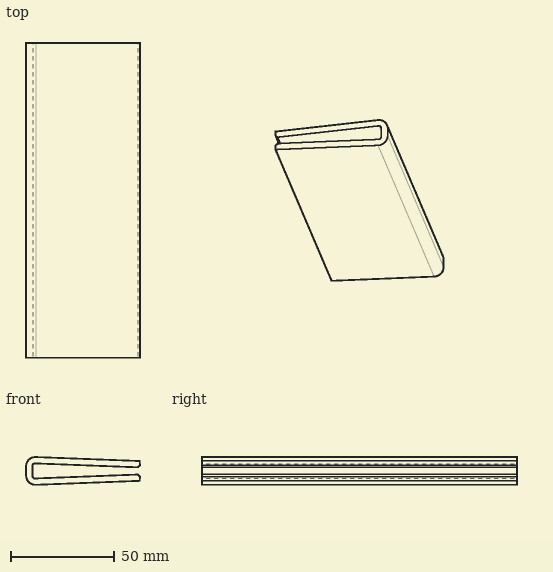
import cadquery as cq
import math

depth = 55.2
length = 152.4
height = 13.5
wall = 3.2
outer_radius = 4.5
inner_radius = 1.0
leg_tilt = math.radians(2.2)
tip_setback = 0.12
tip_chamfer = 1.0

along = (math.cos(leg_tilt), -math.sin(leg_tilt))
outward = (math.sin(leg_tilt), math.cos(leg_tilt))


def shift(point, direction, distance):
    """Move an XZ point along a direction."""
    return (
        point[0] + direction[0] * distance,
        point[1] + direction[1] * distance,
    )


def between(direction):
    """Unit vector halfway between the back normal (-X) and a direction."""
    x, z = direction[0] - 1, direction[1]
    size = math.hypot(x, z)
    return (x / size, z / size)


back_x = -depth / 2
outer_center = (back_x + outer_radius, height / 2 - outer_radius)
outer_back = (back_x, outer_center[1])
outer_mid = shift(outer_center, between(outward), outer_radius)
outer_leg = shift(outer_center, outward, outer_radius)

inner_x = back_x + wall
inner_face_offset = outer_radius - wall - inner_radius
inner_center_x = inner_x + inner_radius
inner_center_z = outer_center[1] + (
    inner_face_offset - (inner_center_x - outer_center[0]) * outward[0]
) / outward[1]
inner_center = (inner_center_x, inner_center_z)
inner_back = (inner_x, inner_center_z)
inner_mid = shift(inner_center, between(outward), inner_radius)
inner_leg = shift(inner_center, outward, inner_radius)

end_face = wall - tip_chamfer
tip_run = (depth / 2 - outer_leg[0] + end_face * outward[0]) / along[0]
tip_square = shift(outer_leg, along, tip_run)
tip_outer = shift(tip_square, along, -tip_setback)
tip_end = shift(tip_square, outward, -end_face)
tip_inner = shift(shift(tip_square, outward, -wall), along, -tip_chamfer)

upper_half = (
    cq.Workplane("XZ")
    .moveTo(back_x, 0)
    .lineTo(*outer_back)
    .threePointArc(outer_mid, outer_leg)
    .lineTo(*tip_outer)
    .lineTo(*tip_end)
    .lineTo(*tip_inner)
    .lineTo(*inner_leg)
    .threePointArc(inner_mid, inner_back)
    .lineTo(inner_x, 0)
    .close()
    .extrude(length / 2, both=True)
)

result = upper_half.union(upper_half.mirror("XY")).clean()